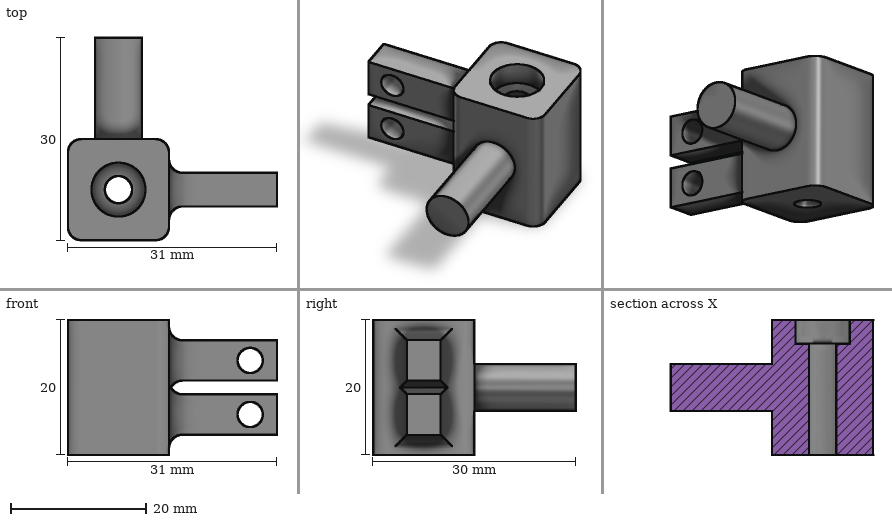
import cadquery as cq

block_side = 15.0
block_height = 20.0
corner_radius = 2.0

bore_diameter = 4.0
counterbore_diameter = 8.0
counterbore_depth = 3.5

rod_diameter = 7.0
rod_length = 15.0

arm_length = 16.0
arm_thickness = 5.0
arm_height = 6.0
arm_gap = 2.0
root_fillet_radius = 2.0
arm_hole_diameter = 3.7
arm_hole_end_distance = 4.0

half_side = block_side / 2
arm_center_z = (arm_gap + arm_height) / 2
arm_hole_x = half_side + arm_length - arm_hole_end_distance

selection_margin = 0.1
root_reach_y = arm_thickness / 2 + selection_margin
root_reach_z = arm_height / 2 + selection_margin


def make_block():
    block = cq.Workplane("XY").box(block_side, block_side, block_height)
    return block.edges("|Z").fillet(corner_radius)


def make_rod():
    return cq.Workplane("XZ").circle(rod_diameter / 2).extrude(-(half_side + rod_length))


def add_arm(body, center_z):
    """Join one arm to the block and round its root on all four sides."""
    arm = (
        cq.Workplane("YZ")
        .center(0, center_z)
        .rect(arm_thickness, arm_height)
        .extrude(half_side + arm_length)
    )
    root_edges = cq.selectors.BoxSelector(
        (half_side - selection_margin, -root_reach_y, center_z - root_reach_z),
        (half_side + selection_margin, root_reach_y, center_z + root_reach_z),
    )
    return body.union(arm).edges(root_edges).fillet(root_fillet_radius)


def make_arm_hole(center_z):
    return (
        cq.Workplane("XZ")
        .center(arm_hole_x, center_z)
        .circle(arm_hole_diameter / 2)
        .extrude(arm_thickness, both=True)
    )


block = make_block()
result = block.union(make_rod())
for center_z in (-arm_center_z, arm_center_z):
    result = result.union(add_arm(block, center_z))
    result = result.cut(make_arm_hole(center_z))

result = result.faces(">Z").workplane(origin=(0, 0, 0)).cboreHole(
    bore_diameter, counterbore_diameter, counterbore_depth
)